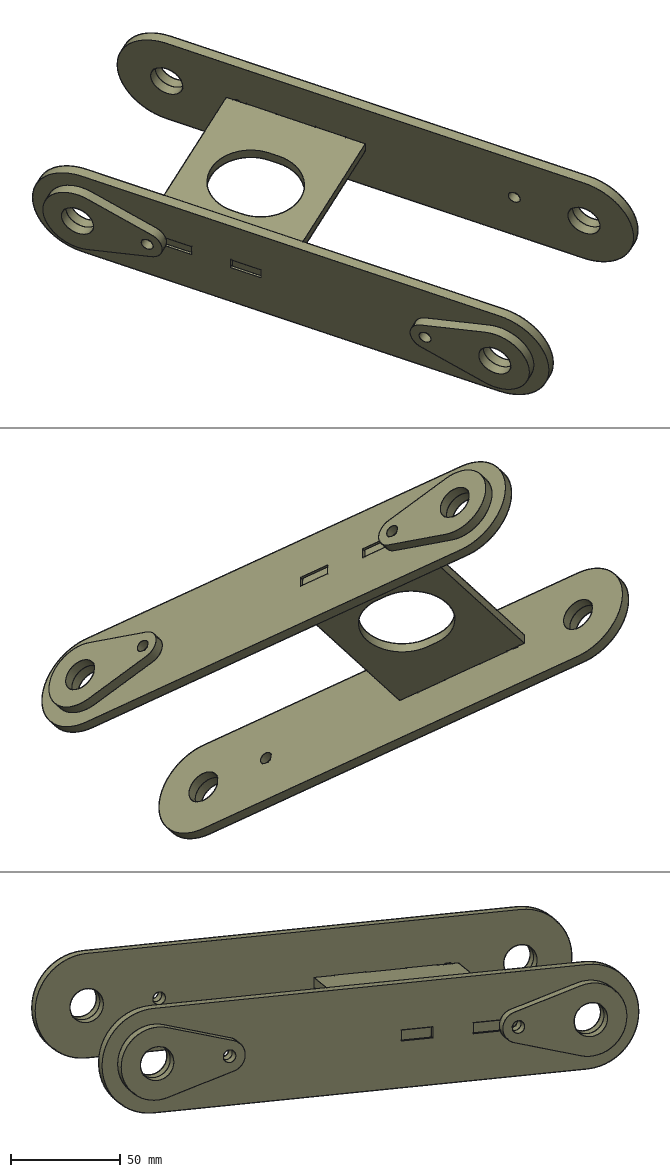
import cadquery as cq
import math

length = 260.0
overall_width = 107.0
plate_height = 50.0

thickness = 5.0

end_radius = plate_height / 2
bore_x = length / 2 - end_radius
bore_diameter = 16.0
pin_hole_diameter = 6.0
pin_hole_spacing = 35.0
pin_hole_x = bore_x - pin_hole_spacing

pad_bore_radius = 17.5
pad_tip_radius = 7.5

bridge_x = -40.0
bridge_length = 70.0
window_length = 45.0
window_width = 40.0

tab_length = 15.0
tab_offset = 17.5
tab_depth = 4.0
tab_corner_radius = 1.0
slot_clearance = 0.13
slot_length = tab_length + 2 * slot_clearance
slot_height = thickness + 2 * slot_clearance
tab_positions = (bridge_x - tab_offset, bridge_x + tab_offset)

plate_outer_y = overall_width / 2 - thickness
plate_inner_y = plate_outer_y - thickness


def plate_between(sketch, inner_y):
    """Extrude an XZ outline by one thickness, outwards (+Y) from inner_y."""
    return sketch.extrude(-thickness).translate((0, inner_y, 0))


def make_side_plate():
    """Round-ended plate on the +Y side, with bores, pin holes and tab slots."""
    plate = plate_between(cq.Workplane("XZ").slot2D(length, plate_height), plate_inner_y)
    bores = cq.Workplane("XZ").pushPoints([(-bore_x, 0), (bore_x, 0)]).circle(bore_diameter / 2)
    pin_holes = (
        cq.Workplane("XZ")
        .pushPoints([(-pin_hole_x, 0), (pin_hole_x, 0)])
        .circle(pin_hole_diameter / 2)
    )
    slots = cq.Workplane("XZ").pushPoints([(x, 0) for x in tab_positions]).rect(slot_length, slot_height)
    for cutter in (bores, pin_holes, slots):
        plate = plate.cut(plate_between(cutter, plate_inner_y))
    return plate


def make_pad():
    """Teardrop pad on the +X, +Y corner, its tip pointing towards the middle."""
    flank_angle = math.acos((pad_bore_radius - pad_tip_radius) / pin_hole_spacing)
    along = -math.cos(flank_angle)
    across = math.sin(flank_angle)
    bore_tangent = (bore_x + pad_bore_radius * along, pad_bore_radius * across)
    tip_tangent = (pin_hole_x + pad_tip_radius * along, pad_tip_radius * across)

    outline = (
        cq.Workplane("XZ")
        .moveTo(bore_tangent[0], bore_tangent[1])
        .threePointArc((bore_x + pad_bore_radius, 0), (bore_tangent[0], -bore_tangent[1]))
        .lineTo(tip_tangent[0], -tip_tangent[1])
        .threePointArc((pin_hole_x - pad_tip_radius, 0), tip_tangent)
        .close()
    )
    bore = cq.Workplane("XZ").center(bore_x, 0).circle(bore_diameter / 2)
    pin_hole = cq.Workplane("XZ").center(pin_hole_x, 0).circle(pin_hole_diameter / 2)
    pad = plate_between(outline, plate_outer_y)
    for cutter in (bore, pin_hole):
        pad = pad.cut(plate_between(cutter, plate_outer_y))
    return pad


def make_bridge():
    """Flat bridge with a round-ended window and two rounded tabs on each side."""
    bridge = cq.Workplane("XY").box(bridge_length, 2 * plate_inner_y, thickness)
    tab_span = 2 * (plate_inner_y + tab_depth)
    for x in tab_positions:
        tab_strip = cq.Workplane("XY").box(tab_length, tab_span, thickness)
        tab_strip = tab_strip.edges("|Z").fillet(tab_corner_radius)
        bridge = bridge.union(tab_strip.translate((x - bridge_x, 0, 0)))
    window = cq.Workplane("XY").slot2D(window_length, window_width).extrude(thickness, both=True)
    return bridge.cut(window).translate((bridge_x, 0, 0))


side_plate = make_side_plate()
side_plates = [side_plate, side_plate.mirror("XZ")]

pad = make_pad()
pad_pair = [pad, pad.mirror("YZ")]
pads = pad_pair + [each.mirror("XZ") for each in pad_pair]

bridge = make_bridge()

result = cq.Compound.makeCompound([body.val() for body in (*side_plates, *pads, bridge)])